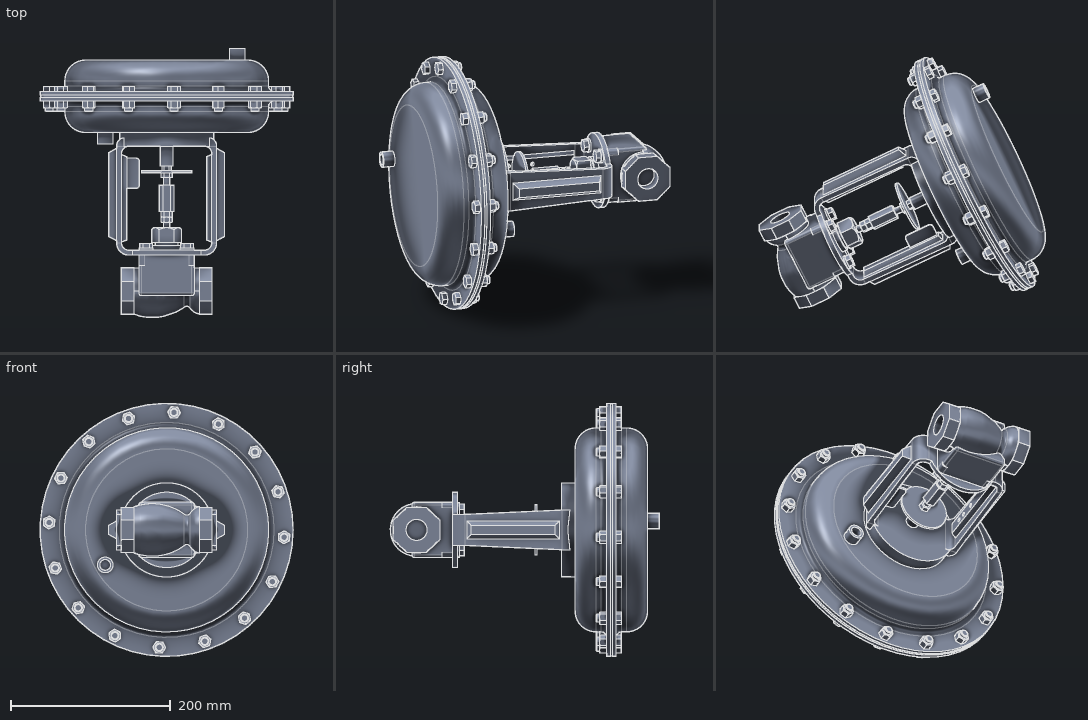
import cadquery as cq
import math


flange_radius = 158.5
flange_half_thickness = 6.0
diaphragm_radius = 158.3
diaphragm_half_thickness = 1.5
shell_radius = 128.0
shell_half_height = 45.5
shell_round = 26.3
flange_fillet = 6.8

bolt_count = 16
bolt_circle_radius = 147.5
bolt_start_angle = 86.4
bolt_hex_corners = 16.2
bolt_head_height = 6.5
bolt_nut_height = 8.8
bolt_nut_chamfer = 1.0
bolt_radius = 5.0
bolt_end_station = 19.2
bolt_end_chamfer = 1.0

port_radius = 9.8
port_bore_radius = 6.8
port_length = 14.5
front_port_place = (-77.0, -44.0)
rear_port_place = (88.5, 11.0)

hub_radius = 59.0
hub_station = 62.8

yoke_outer_x = 62.8
yoke_thickness = 6.5
yoke_station = 199.0
yoke_bend_radius = 15.5
yoke_top_station = 52.0
yoke_top_radius = 10.0
yoke_top_fillet = 8.8
yoke_half_width_hub = 25.0
yoke_half_width_plate = 19.5
plate_radius = 47.3

outer_rib_height = 9.8
outer_rib_base_ends = (65.0, 181.0)
outer_rib_crest_ends = (70.5, 176.0)
inner_rib_height = 6.5
inner_rib_base_ends = (73.0, 182.5)
inner_rib_crest_ends = (75.5, 180.2)
rib_base_half_width = 11.0
outer_rib_crest_half_width = 5.7
inner_rib_crest_half_width = 7.8
scale_hole_radius = 2.5
scale_hole_stations = (94.5, 106.5, 126.0)

indicator_ends = (77.3, 115.5)
indicator_height = 16.0
indicator_thickness = 2.7
indicator_round = 4.5

spindle = (hub_station, 87.5, 16.2)
upper_nut = (87.5, 93.0, 12.0)
travel_disc = (93.0, 96.0, 63.0)
lower_nut = (96.0, 102.0, 14.2)
rod = (102.0, 164.5, 8.0)
coupler = (111.5, 144.5, 19.0)
jam_nut = (144.5, 151.2, 14.2)
lock_nut = (151.2, 158.3, 14.2)
lock_nut_chamfer = 1.0
packing_nut = (164.5, 183.3, 37.8)
packing_nut_chamfer = 2.7
gland_neck = (183.3, 186.5, 29.0)
gland_collar = (186.5, 192.7, 35.0)

bonnet_half_width = 34.8
bonnet_step_station = 212.3
bonnet_end_station = 249.8
bonnet_corner_round = 6.8
bonnet_edge_round = 3.5
bonnet_bolt_place = 25.5
bonnet_washer_diameter = 17.5
bonnet_washer_height = 2.5
bonnet_head_corners = 16.2
bonnet_head_height = 6.0

body_station = 244.0
body_half_length = 57.0
end_length = 16.0
end_half_height_y = 29.5
end_half_height_z = 28.5
end_half_flat = 12.0
body_bore_radius = 13.0
body_max_radius = 33.5
body_max_x = -17.5
body_end_radius = 29.0
globe_waist = (7.8, 28.5)
neck_start = (21.5, 21.0)
neck_middle = (25.5, 19.2)
neck_end = (29.5, 21.5)
shoulder_middle = (34.8, 26.5)

DIAGONAL = math.sqrt(0.5)
SIDES = (-1, 1)
yoke_inner_x = yoke_outer_x - yoke_thickness
plate_station = yoke_station - yoke_thickness


def plane_at(station):
    """Workplane across the stem axis; extruding goes towards the valve body."""
    return cq.Workplane("XZ", origin=(0, -station, 0))


def round_section(start, end, diameter):
    return plane_at(start).circle(diameter / 2).extrude(end - start)


def hex_section(start, end, corners):
    """Hexagonal bar with two of its corners on the X axis."""
    return plane_at(start).polygon(6, corners).extrude(end - start)


def chamfered_hex(bar, corners, chamfer, at_start, at_end):
    """Trim the corners of a hexagonal bar with a turned chamfer."""
    box = bar.val().BoundingBox()
    turned = cq.Workplane("XZ", origin=(0, box.ymax, 0)).circle(corners / 2).extrude(box.ylen)
    if at_start:
        turned = turned.faces(">Y").chamfer(chamfer)
    if at_end:
        turned = turned.faces("<Y").chamfer(chamfer)
    return bar.intersect(turned)


def housing_half(side):
    """Domed shell with its flange, on one side of the diaphragm."""
    wall_end = shell_half_height - shell_round
    dome_radius = shell_radius - shell_round
    foot_radius = shell_radius + flange_fillet
    foot_end = flange_half_thickness + flange_fillet
    fillet_reach = flange_fillet * DIAGONAL
    round_reach = shell_round * DIAGONAL
    return (
        cq.Workplane("XY")
        .moveTo(0, 0)
        .lineTo(diaphragm_radius, 0)
        .lineTo(diaphragm_radius, side * diaphragm_half_thickness)
        .lineTo(flange_radius, side * diaphragm_half_thickness)
        .lineTo(flange_radius, side * flange_half_thickness)
        .lineTo(foot_radius, side * flange_half_thickness)
        .threePointArc(
            (foot_radius - fillet_reach, side * (foot_end - fillet_reach)),
            (shell_radius, side * foot_end),
        )
        .lineTo(shell_radius, side * wall_end)
        .threePointArc(
            (dome_radius + round_reach, side * (wall_end + round_reach)),
            (dome_radius, side * shell_half_height),
        )
        .lineTo(0, side * shell_half_height)
        .close()
        .revolve(360, (0, 0, 0), (0, 1, 0))
    )


def flange_bolt():
    """Bolt on the stem axis, with its head behind the flange and its nut in front."""
    nut_end = flange_half_thickness + bolt_nut_height
    head = hex_section(-flange_half_thickness - bolt_head_height, 0, bolt_hex_corners)
    nut = hex_section(0, nut_end, bolt_hex_corners)
    nut = chamfered_hex(nut, bolt_hex_corners, bolt_nut_chamfer, False, True)
    shank = round_section(0, bolt_end_station, 2 * bolt_radius).faces("<Y").chamfer(bolt_end_chamfer)
    return head.union(nut).union(shank)


def flange_bolts():
    bolt = flange_bolt().rotate((0, 0, 0), (0, 1, 0), 90).translate((bolt_circle_radius, 0, 0))
    bolts = cq.Workplane("XZ")
    for index in range(bolt_count):
        angle = bolt_start_angle + index * 360 / bolt_count
        bolts = bolts.add(bolt.rotate((0, 0, 0), (0, 1, 0), -angle))
    return bolts.vals()


def port_section(place, side, radius):
    """Round bar on the housing end face; side is 1 towards the valve body and -1 away from it."""
    face = plane_at(side * shell_half_height).center(*place)
    return face.circle(radius).extrude(side * port_length)


def yoke():
    """Bent strap from the hub to the bonnet plate, tapering towards the plate."""
    outer_bend_x = yoke_outer_x - yoke_bend_radius
    inner_bend_radius = yoke_bend_radius - yoke_thickness
    bend_start = yoke_station - yoke_bend_radius
    outer_reach = yoke_bend_radius * DIAGONAL
    inner_reach = inner_bend_radius * DIAGONAL
    top_x = yoke_outer_x - yoke_top_radius
    top_bend_station = yoke_top_station + yoke_top_radius
    top_reach = yoke_top_radius * DIAGONAL
    fillet_x = yoke_inner_x - yoke_top_fillet
    fillet_station = hub_station + yoke_top_fillet
    fillet_reach = yoke_top_fillet * DIAGONAL

    strap = None
    for side in SIDES:
        half = (
            cq.Workplane("XY")
            .moveTo(0, -yoke_station)
            .lineTo(side * outer_bend_x, -yoke_station)
            .threePointArc(
                (side * (outer_bend_x + outer_reach), -bend_start - outer_reach),
                (side * yoke_outer_x, -bend_start),
            )
            .lineTo(side * yoke_outer_x, -top_bend_station)
            .threePointArc(
                (side * (top_x + top_reach), -top_bend_station + top_reach),
                (side * top_x, -yoke_top_station),
            )
            .lineTo(side * fillet_x, -yoke_top_station)
            .lineTo(side * fillet_x, -hub_station)
            .threePointArc(
                (side * (fillet_x + fillet_reach), -fillet_station + fillet_reach),
                (side * yoke_inner_x, -fillet_station),
            )
            .lineTo(side * yoke_inner_x, -bend_start)
            .threePointArc(
                (side * (outer_bend_x + inner_reach), -bend_start - inner_reach),
                (side * outer_bend_x, -plate_station),
            )
            .lineTo(0, -plate_station)
            .close()
            .extrude(yoke_half_width_hub, both=True)
        )
        strap = half if strap is None else strap.union(half)

    taper = (
        cq.Workplane("YZ")
        .moveTo(0, -yoke_half_width_hub)
        .lineTo(-hub_station, -yoke_half_width_hub)
        .lineTo(-bend_start, -yoke_half_width_plate)
        .lineTo(-yoke_station, -yoke_half_width_plate)
        .lineTo(-yoke_station, yoke_half_width_plate)
        .lineTo(-bend_start, yoke_half_width_plate)
        .lineTo(-hub_station, yoke_half_width_hub)
        .lineTo(0, yoke_half_width_hub)
        .close()
        .extrude(yoke_outer_x, both=True)
    )
    return strap.intersect(taper).union(round_section(plate_station, yoke_station, 2 * plate_radius))


def rib(base_x, crest_x, base_ends, crest_ends, crest_half_width):
    """Bar with bevelled sides and ends, raised from base_x to crest_x."""
    base_centre = -sum(base_ends) / 2
    crest_centre = -sum(crest_ends) / 2
    return (
        cq.Workplane("YZ", origin=(base_x, base_centre, 0))
        .rect(base_ends[1] - base_ends[0], 2 * rib_base_half_width)
        .workplane(offset=crest_x - base_x)
        .center(crest_centre - base_centre, 0)
        .rect(crest_ends[1] - crest_ends[0], 2 * crest_half_width)
        .loft(ruled=True)
    )


def indicator(crest_x):
    """Rounded block on the inner rib of the -X leg."""
    length = indicator_ends[1] - indicator_ends[0]
    centre = -sum(indicator_ends) / 2
    return (
        cq.Workplane("XY", origin=(-crest_x + indicator_height / 2, centre, 0))
        .box(indicator_height, length, indicator_thickness)
        .edges("|Z and >X")
        .fillet(indicator_round)
    )


def stem():
    lock = chamfered_hex(hex_section(*lock_nut), lock_nut[2], lock_nut_chamfer, True, True)
    packing = chamfered_hex(hex_section(*packing_nut), packing_nut[2], packing_nut_chamfer, True, False)
    parts = [lock, packing]
    for section in (upper_nut, lower_nut, coupler, jam_nut):
        parts.append(hex_section(*section))
    for section in (spindle, travel_disc, rod, gland_neck, gland_collar):
        parts.append(round_section(*section))
    return parts


def bonnet():
    """Square block below the plate; its lower part has smaller rounds."""
    width = 2 * bonnet_half_width
    upper = plane_at(yoke_station).rect(width, width).extrude(bonnet_step_station - yoke_station)
    upper = upper.edges("|Y").fillet(bonnet_corner_round)
    lower = plane_at(bonnet_step_station).rect(width, width).extrude(bonnet_end_station - bonnet_step_station)
    lower = lower.edges("|Y or <Y").fillet(bonnet_edge_round)
    return upper.union(lower)


def bonnet_bolts():
    washer_start = plate_station - bonnet_washer_height
    spacing = 2 * bonnet_bolt_place
    washers = (
        plane_at(washer_start)
        .rarray(spacing, spacing, 2, 2)
        .circle(bonnet_washer_diameter / 2)
        .extrude(bonnet_washer_height)
    )
    heads = (
        plane_at(washer_start - bonnet_head_height)
        .rarray(spacing, spacing, 2, 2)
        .polygon(6, bonnet_head_corners)
        .extrude(bonnet_head_height)
    )
    return washers.union(heads)


def valve_body():
    """Globe front half, plain half-cylinder back and an eight-sided end on each side."""
    end_start = body_half_length - end_length
    back = (
        cq.Workplane("YZ", origin=(-end_start, -body_station, 0))
        .moveTo(0, -body_end_radius)
        .threePointArc((body_end_radius, 0), (0, body_end_radius))
        .close()
        .extrude(2 * end_start)
    )
    globe = (
        cq.Workplane("XZ", origin=(0, -body_station, 0))
        .moveTo(-end_start, 0)
        .lineTo(-end_start, body_end_radius)
        .spline([(body_max_x, body_max_radius), globe_waist, neck_start], includeCurrent=True)
        .threePointArc(neck_middle, neck_end)
        .threePointArc(shoulder_middle, (end_start, body_end_radius))
        .lineTo(end_start, 0)
        .close()
        .revolve(180, (0, 0, 0), (1, 0, 0))
    )
    outline = [
        (end_half_height_y, -end_half_flat),
        (end_half_height_y, end_half_flat),
        (end_half_flat, end_half_height_z),
        (-end_half_flat, end_half_height_z),
        (-end_half_height_y, end_half_flat),
        (-end_half_height_y, -end_half_flat),
        (-end_half_flat, -end_half_height_z),
        (end_half_flat, -end_half_height_z),
    ]
    body = back.union(globe)
    for start in (-body_half_length, end_start):
        end_plane = cq.Workplane("YZ", origin=(start, -body_station, 0))
        end = end_plane.polyline(outline).close().extrude(end_length)
        bore = end_plane.circle(body_bore_radius).extrude(end_length)
        body = body.union(end).cut(bore)
    return body


result = housing_half(1).union(housing_half(-1))
for bolt in flange_bolts():
    result = result.union(cq.Workplane(bolt))
for place, side in ((front_port_place, 1), (rear_port_place, -1)):
    result = result.union(port_section(place, side, port_radius))
    result = result.cut(port_section(place, side, port_bore_radius))
result = result.union(round_section(shell_half_height, hub_station, 2 * hub_radius))

inner_crest_x = yoke_inner_x - inner_rib_height
outer_crest_x = yoke_outer_x + outer_rib_height
result = result.union(yoke())
for side in SIDES:
    outer_rib = rib(
        side * yoke_outer_x,
        side * outer_crest_x,
        outer_rib_base_ends,
        outer_rib_crest_ends,
        outer_rib_crest_half_width,
    )
    inner_rib = rib(
        side * yoke_inner_x,
        side * inner_crest_x,
        inner_rib_base_ends,
        inner_rib_crest_ends,
        inner_rib_crest_half_width,
    )
    result = result.union(outer_rib).union(inner_rib)
for station in scale_hole_stations:
    hole = cq.Workplane("YZ", origin=(inner_crest_x, -station, 0)).circle(scale_hole_radius)
    result = result.cut(hole.extrude(inner_rib_height))
result = result.union(indicator(inner_crest_x))

for stem_part in stem():
    result = result.union(stem_part)
result = result.union(bonnet()).union(bonnet_bolts()).union(valve_body())